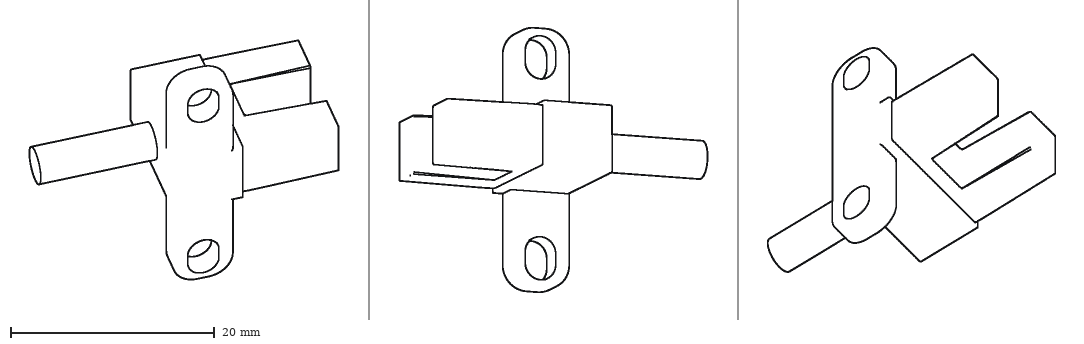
import cadquery as cq

body_width = 14.2
body_depth = 7.2
body_height = 6.8

flange_thickness = 2.5
flange_depth = 6.2
flange_height = 26.0
flange_corner_radius = 2.5
flange_x_min = body_width / 2 - flange_thickness

slot_width = 3.2
slot_length = 4.3
slot_end_margin = 0.8
slot_center_z = flange_height / 2 - slot_end_margin - slot_length / 2

fork_length = 10.0
fork_root_width = 13.44
fork_tip_width = 13.32
fork_shoulder_height = 6.06
fork_tip_height = 5.92
fork_root_height = 6.0
fork_tip_y = body_depth + fork_length

gap_depth = 8.4
gap_tip_width = 5.0
gap_floor_width = 4.8
gap_corner_radius = 0.3
gap_floor_y = fork_tip_y - gap_depth

neck_length = 0.7
neck_y = body_depth + neck_length

cable_diameter = 3.8
cable_length = 12.0

edge_radius = 0.2
rear_edge_radius = 0.1
fork_edge_radius = 0.2
fork_tip_radius = 0.1

gap_bevel_at_tip = 0.18
gap_bevel_at_floor = 0.01


def make_body():
    """Rectangular housing and its tall mounting flange, with rounded edges."""
    housing = (
        cq.Workplane("XY")
        .box(body_width, body_depth, body_height, centered=(True, False, True))
        .edges("|Y or <Y")
        .fillet(edge_radius)
        .faces(">Y")
        .edges()
        .fillet(rear_edge_radius)
    )
    flange = (
        cq.Workplane("XY")
        .box(flange_thickness, flange_depth, flange_height, centered=(False, False, True))
        .translate((flange_x_min, 0, 0))
        .edges("|X")
        .fillet(flange_corner_radius)
        .faces("<X or >X")
        .edges()
        .fillet(edge_radius)
    )
    return housing.union(flange)


def make_slot_cutter(center_z):
    """Upright slot running through the flange along X."""
    return (
        cq.Workplane("YZ", origin=(flange_x_min, flange_depth / 2, center_z))
        .slot2D(slot_length, slot_width, 90)
        .extrude(flange_thickness)
    )


def make_fork_section(y, width, height):
    """Rounded rectangular cross-section of the fork, square to the Y axis at the given y."""
    plane = cq.Plane(origin=(0, y, 0), xDir=(1, 0, 0), normal=(0, -1, 0))
    section = cq.Sketch().rect(width, height).vertices().fillet(fork_edge_radius)
    return section.moved(cq.Location(plane))


def make_gap():
    """Tapering gap with rounded corners at its floor."""
    outline = [
        (-gap_tip_width / 2, fork_tip_y),
        (-gap_floor_width / 2, gap_floor_y),
        (gap_floor_width / 2, gap_floor_y),
        (gap_tip_width / 2, fork_tip_y),
    ]
    gap = cq.Workplane("XY").polyline(outline).close().extrude(body_height, both=True)
    return gap.edges("|Z and <Y").fillet(gap_corner_radius)


def make_gap_bevel(x_side, z_side):
    """Fading wedge that bevels one long edge of the gap."""

    def bevel_section(y, gap_width, arm_height, bevel):
        """Triangle overshooting the arm corner, whose long side is the bevel."""
        x = x_side * gap_width / 2
        z = z_side * arm_height / 2
        return cq.Wire.makePolygon(
            [
                cq.Vector(x - x_side * bevel, y, z + z_side * bevel),
                cq.Vector(x + 2 * x_side * bevel, y, z + z_side * bevel),
                cq.Vector(x - x_side * bevel, y, z - 2 * z_side * bevel),
            ],
            close=True,
        )

    tip = bevel_section(fork_tip_y, gap_tip_width, fork_tip_height, gap_bevel_at_tip)
    floor = bevel_section(gap_floor_y, gap_floor_width, fork_shoulder_height, gap_bevel_at_floor)
    return cq.Workplane(cq.Solid.makeLoft([tip, floor], True))


def make_fork():
    """Tapered two-armed fork on a slightly narrowed neck."""
    sections = [
        make_fork_section(body_depth, fork_root_width, fork_root_height),
        make_fork_section(neck_y, fork_root_width, fork_shoulder_height),
        make_fork_section(gap_floor_y, fork_root_width, fork_shoulder_height),
        make_fork_section(fork_tip_y, fork_tip_width, fork_tip_height),
    ]
    fork = cq.Workplane("XY").placeSketch(*sections).loft(ruled=True)
    fork = fork.cut(make_gap())
    for x_side in (-1, 1):
        for z_side in (-1, 1):
            fork = fork.cut(make_gap_bevel(x_side, z_side))
    return fork.faces(">Y").edges().fillet(fork_tip_radius)


def make_cable():
    """Round cable leaving the centre of the front face."""
    return cq.Workplane("XZ").circle(cable_diameter / 2).extrude(cable_length)


result = make_body().union(make_fork()).union(make_cable())
for slot_z in (-slot_center_z, slot_center_z):
    result = result.cut(make_slot_cutter(slot_z))